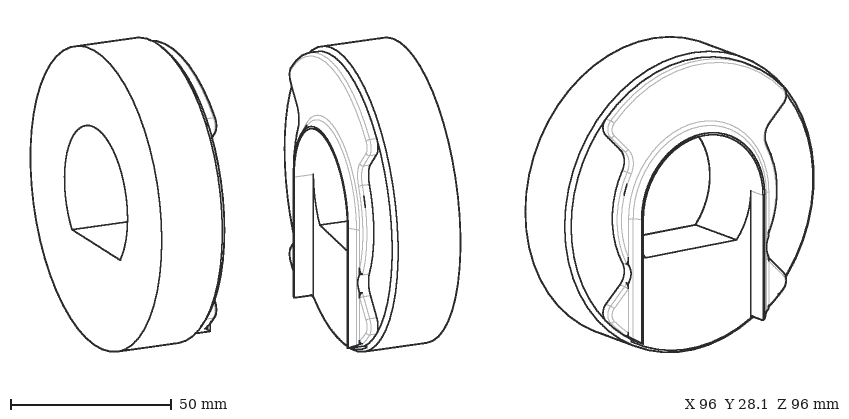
import cadquery as cq
import math

disk_radius = 48.0
disk_thickness = 22.3
disk_chamfer = 1.4

bore_radius = 23.0
bore_flat_z = -15.0
slot_floor_y = 21.7

plate_top_y = 25.6
plate_radius = disk_radius - disk_chamfer
hub_radius = 30.7
flank_apex_x = 6.0
corner_radius = 3.8
neck_radius = 5.8
plate_edge_radius = 1.0

rim_slope = math.radians(45)
rim_top_y = 28.1
rim_top_radius = 23.7
rim_foot_fillet = 1.9
rim_slope_run = (rim_top_y - plate_top_y) / math.tan(rim_slope)
rim_foot_radius = rim_top_radius + rim_slope_run + rim_foot_fillet * math.tan(rim_slope / 2)


def cylinder(radius, y_start, y_end):
    """Cylinder about the Y axis."""
    return cq.Workplane("XZ", origin=(0, y_start, 0)).circle(radius).extrude(y_start - y_end)


def box(half_width, y_start, y_end, z_start, z_end):
    """Box centred on X = 0 between the given Y and Z limits."""
    size = (2 * half_width, y_end - y_start, z_end - z_start)
    return cq.Workplane().box(*size, centered=(True, False, False)).translate((0, y_start, z_start))


def make_disk():
    return cylinder(disk_radius, 0, disk_thickness).faces(">Y").chamfer(disk_chamfer)


def corner_edges(solid, radius):
    """Edges along Y at the given distance from the axis, leaving out seams on the X axis."""
    return [
        edge for edge in solid.edges("|Y").vals()
        if math.isclose(math.hypot(edge.Center().x, edge.Center().z), radius, abs_tol=0.01)
        and not math.isclose(edge.Center().z, 0, abs_tol=0.01)
    ]


def plate_prism(top_y):
    """Prism with the rounded plate outline, from the slot floor up to top_y."""
    prism = cylinder(plate_radius, slot_floor_y, top_y)
    notch_reach = disk_radius - flank_apex_x
    for side in (1, -1):
        notch = (
            cq.Workplane("XZ", origin=(0, slot_floor_y, 0))
            .moveTo(side * flank_apex_x, 0)
            .lineTo(side * disk_radius, notch_reach)
            .lineTo(side * disk_radius, -notch_reach)
            .close()
            .extrude(slot_floor_y - top_y)
        )
        prism = prism.cut(notch)
    prism = prism.union(cylinder(hub_radius, slot_floor_y, top_y))
    prism = prism.newObject(corner_edges(prism, plate_radius)).fillet(corner_radius)
    return prism.newObject(corner_edges(prism, hub_radius)).fillet(neck_radius)


def rim_profile():
    """Half section of the rim: a slope running into a rounded foot on the plate."""
    foot_run = rim_foot_fillet * math.sin(rim_slope)
    foot_rise = rim_foot_fillet * (1 - math.cos(rim_slope))
    return (
        cq.Workplane("XY")
        .moveTo(0, slot_floor_y)
        .lineTo(0, rim_top_y)
        .lineTo(rim_top_radius, rim_top_y)
        .lineTo(rim_foot_radius - foot_run, plate_top_y + foot_rise)
        .tangentArcPoint((rim_foot_radius, plate_top_y), relative=False)
        .lineTo(rim_foot_radius, slot_floor_y)
        .close()
    )


def make_rim():
    """Half round at the top, running straight down to the lower edge of the plate."""
    rim = rim_profile().revolve(360, (0, 0, 0), (0, 1, 0))
    leg = rim_profile().extrude(-disk_radius)
    return rim.union(leg).union(leg.mirror("YZ"))


def make_bore():
    below_flat = box(bore_radius, 0, slot_floor_y, -disk_radius, bore_flat_z)
    bore = cylinder(bore_radius, 0, rim_top_y).cut(below_flat)
    slot = box(bore_radius, slot_floor_y, rim_top_y, -disk_radius, 0)
    return bore.union(slot)


plate = plate_prism(plate_top_y).faces(">Y").edges().fillet(plate_edge_radius)
rim = make_rim().intersect(plate_prism(rim_top_y))

result = make_disk().union(plate).union(rim).cut(make_bore())